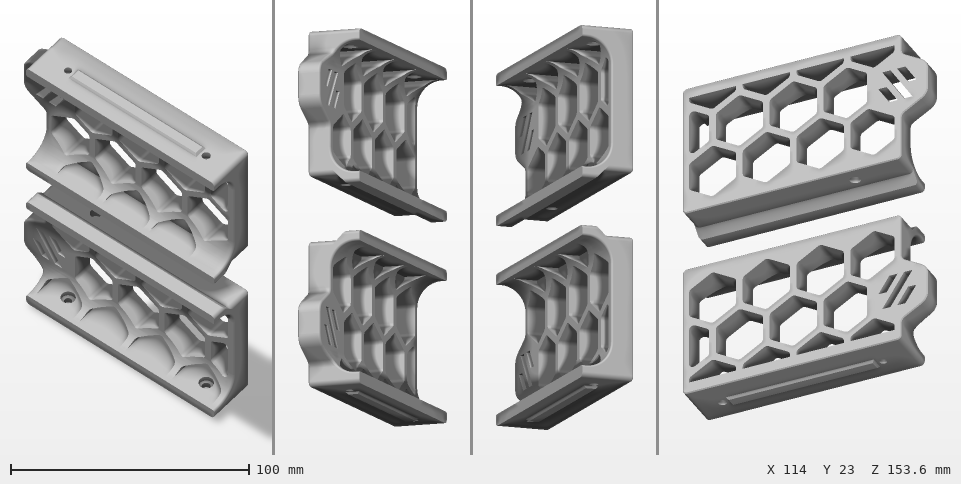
import cadquery as cq
import math


total_length = 114.0
total_height = 153.6

plate_length = 101.7
depth = 23.0
web_thickness = 10.0
cove_radius = 10.9
ridge_height = 1.0
top_z = total_height / 2 - ridge_height
top_rail = 5.0
bottom_z = 10.3
bottom_lip = 4.6
step_height = 3.7
step_run = 3.7
lip_depth = 6.5
end_radius = 2.0
lip_end_radius = 1.5
inner_edge_radius = 0.9
back_chamfer = 0.5

rail_under_z = top_z - top_rail
lip_top_z = bottom_z + bottom_lip
step_z = bottom_z + step_height

tab_flats = 28.1
tab_x = plate_length - total_length + tab_flats / 2
tab_z = 51.0
tab_corner_radius = 6.0
tab_root_radius = 2.9

cell_pitch = 25.0
cell_flats = 22.0
cell_radius = 2.0
row_pitch = cell_pitch * math.sqrt(3) / 2
row_count = 3
cells_per_row = 4
pocket_count = 3
first_cell_x = 12.6
lower_row_z = 31.5
end_margin = 3.0

slot_width = 3.8
slot_offset = 6.9
slot_half_height = 7.8
slot_lean = 0.65

ridge_length = 69.0
ridge_width = 6.3
ridge_x = 51.9
ridge_y = -13.0
ridge_bevel_angle = 45
screw_spacing = 74.6
left_hole_diameter = 3.4
right_hole_diameter = 3.8
counterbore_diameter = 6.5
counterbore_depth = 2.3

blind_x = 24.9
blind_y = -7.4
blind_diameter = 4.9
blind_depth = 4.6

near = 0.2


def prism(outline):
    """Extrude an X-Z outline through the full depth."""
    return cq.Workplane("XZ").polyline(outline).close().extrude(depth)


def hexagon(x, z, flats):
    """Corners of a hexagon with two upright sides."""
    corner = flats / math.sqrt(3)
    angles = [math.radians(30 + 60 * i) for i in range(6)]
    return [(x + corner * math.cos(a), z + corner * math.sin(a)) for a in angles]


def block(x0, x1, y0, y1, z0, z1):
    """A box between the given limits."""
    return cq.Workplane("XY").box(x1 - x0, y1 - y0, z1 - z0, centered=False).translate((x0, y0, z0))


def cylinder(x, y, z, diameter, height):
    """An upright cylinder that starts at height z."""
    return cq.Workplane("XY", origin=(x, y, z)).circle(diameter / 2).extrude(height)


def depth_edges(body, x0, x1, z0, z1):
    """Edges along Y whose centres lie within the given X and Z limits."""
    limits = cq.selectors.BoxSelector((x0, -depth - near, z0), (x1, near, z1))
    return body.edges("|Y").edges(limits)


def channel(x_start, x_end):
    """The C-shaped section, with coved inside corners, run along X."""
    cove_front = -web_thickness - cove_radius
    cove_bulge = cove_radius * (1 - math.sqrt(0.5))
    cove_mid = -web_thickness - cove_bulge
    lip_back = -depth + lip_depth
    return (
        cq.Workplane("YZ", origin=(x_start, 0, 0))
        .moveTo(0, top_z)
        .lineTo(-depth, top_z)
        .lineTo(-depth, rail_under_z)
        .lineTo(cove_front, rail_under_z)
        .threePointArc((cove_mid, rail_under_z - cove_bulge), (-web_thickness, rail_under_z - cove_radius))
        .lineTo(-web_thickness, lip_top_z + cove_radius)
        .threePointArc((cove_mid, lip_top_z + cove_bulge), (cove_front, lip_top_z))
        .lineTo(-depth, lip_top_z)
        .lineTo(-depth, bottom_z)
        .lineTo(lip_back, bottom_z)
        .lineTo(lip_back + step_run, step_z)
        .lineTo(0, step_z)
        .close()
        .extrude(x_end - x_start)
    )


def rounded_plate():
    """The channel with its outer end corners rounded."""
    plate = channel(0, plate_length)
    corner_sets = ((top_z, end_radius), (step_z, end_radius), (bottom_z, lip_end_radius))
    for corner_z, radius in corner_sets:
        corners = depth_edges(plate, -near, plate_length + near, corner_z - near, corner_z + near)
        plate = corners.fillet(radius)
    return plate


def rounded_tab():
    """The hexagonal tab, following the channel section, with its outer corners rounded."""
    tab_left = tab_x - tab_flats / 2
    tab = prism(hexagon(tab_x, tab_z, tab_flats))
    tab = depth_edges(tab, tab_left - near, tab_left + near, bottom_z, top_z).fillet(tab_corner_radius)
    return tab.intersect(channel(tab_left, tab_x + tab_flats / 2))


def round_inner_edges(body):
    """Round the front edges of the web, coves and tab at both ends."""
    tiny = 0.002
    rounded = []
    for edge in body.edges().vals():
        limits = edge.BoundingBox()
        at_end = edge.Center().x < tiny or edge.Center().x > plate_length - tiny
        on_inside = limits.zmin > lip_top_z - tiny and limits.zmax < rail_under_z + tiny
        in_front = limits.ymax < -web_thickness + tiny and limits.ymax > -depth + tiny
        if at_end and on_inside and in_front:
            rounded.append(edge)
    return body.newObject(rounded).fillet(inner_edge_radius)


def blank():
    """Plate and tab joined, with all outer edges finished."""
    body = rounded_plate().union(rounded_tab())
    roots = depth_edges(body, -near, near, lip_top_z + cove_radius, rail_under_z - near)
    body = roots.fillet(tab_root_radius)
    body = body.faces(">Y").edges().chamfer(back_chamfer)
    return round_inner_edges(body)


def cell(x, z):
    """A honeycomb cell trimmed by the end margins and the tab; growing a smaller core rounds its corners."""
    inset = end_margin + cell_radius
    core = prism(hexagon(x, z, cell_flats - 2 * cell_radius))
    core = core.intersect(block(inset, plate_length - inset, -depth, 0, 0, total_height))
    core = core.cut(prism(hexagon(tab_x, tab_z, tab_flats + 2 * cell_radius)))
    outline = core.faces("<Y").wires().toPending()
    return outline.offset2D(cell_radius).extrude(-depth, combine=False)


def cut_honeycomb(body):
    """Cut the through windows, and the pockets that only reach back to the web."""
    window_limits = block(0, plate_length, -depth, 0, lip_top_z, rail_under_z)
    for row in range(row_count):
        stagger = (row % 2) / 2
        for i in range(cells_per_row):
            x = first_cell_x + cell_pitch * (i + stagger)
            window = cell(x, lower_row_z + row * row_pitch)
            body = body.cut(window.intersect(window_limits))
    pocket_limits = block(0, plate_length, -depth, -web_thickness, lip_top_z, rail_under_z)
    for i in range(pocket_count):
        pocket = cell(first_cell_x + cell_pitch * (i + 0.5), lower_row_z - row_pitch)
        body = body.cut(pocket.intersect(pocket_limits))
    return body


def slot(offset, low, high):
    """A slanted slot; low and high are its ends as multiples of the half height."""
    z_low = low * slot_half_height
    z_high = high * slot_half_height
    x_low = tab_x + offset + slot_lean * z_low
    x_high = tab_x + offset + slot_lean * z_high
    half = slot_width / 2
    return prism([
        (x_low - half, tab_z + z_low),
        (x_low + half, tab_z + z_low),
        (x_high + half, tab_z + z_high),
        (x_high - half, tab_z + z_high),
    ])


def cut_slots(body):
    """A full-height slot between two half-height ones."""
    for offset, low, high in ((-slot_offset, 0, 1), (0, -1, 1), (slot_offset, -1, 0)):
        body = body.cut(slot(offset, low, high))
    return body


def add_ridge(body):
    """A bevelled ridge along the outside of the top rail."""
    base = cq.Workplane("XY", origin=(ridge_x, ridge_y, top_z)).rect(ridge_length, ridge_width)
    return body.union(base.extrude(ridge_height, taper=ridge_bevel_angle))


def cut_holes(body):
    """Counterbored holes at both ends of the ridge, and the blind hole in the stepped underside."""
    for side, diameter in ((-1, left_hole_diameter), (1, right_hole_diameter)):
        x = ridge_x + side * screw_spacing / 2
        body = body.cut(cylinder(x, ridge_y, rail_under_z, diameter, top_rail))
        body = body.cut(cylinder(x, ridge_y, rail_under_z, counterbore_diameter, counterbore_depth))
    return body.cut(cylinder(blind_x, blind_y, step_z, blind_diameter, blind_depth))


def bracket():
    """One complete bracket half, above the mirror plane."""
    body = cut_honeycomb(blank())
    body = cut_slots(body)
    body = add_ridge(body)
    return cut_holes(body)


upper_bracket = bracket()
lower_bracket = upper_bracket.mirror("XY")

result = cq.Compound.makeCompound([upper_bracket.val(), lower_bracket.val()])